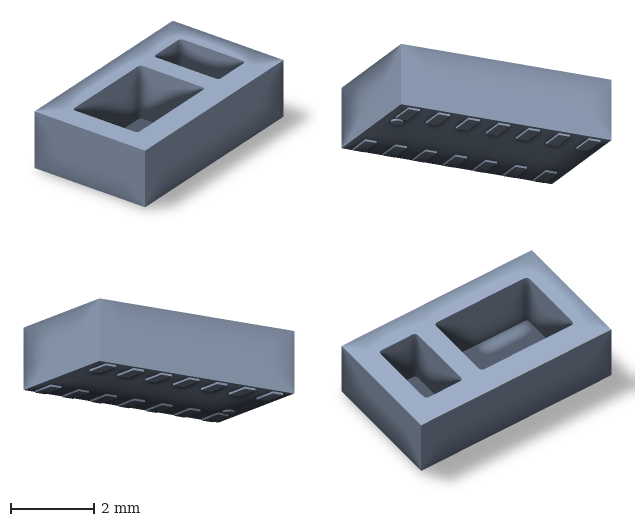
import cadquery as cq

body_width = 3.3
body_length = 5.6
total_height = 1.6
pad_thickness = 0.05
body_height = total_height - pad_thickness

cavity_width = 1.95
large_cavity_length = 2.75
small_cavity_length = 1.1
end_wall = 0.61
floor_thickness = 0.1
cavity_corner_radius = 0.09

pads_per_side = 7
pad_pitch = 0.8
pad_length = 0.7
pad_width = 0.3
pad_edge_inset = 0.105

marker_diameter = 0.3
marker_x = -0.6
marker_y = pad_pitch * (pads_per_side - 1) / 2


def make_cavity(length, center_y):
    """Rounded rectangular cutter from the cavity floor to the top face."""
    return (
        cq.Workplane("XY", origin=(0, center_y, floor_thickness))
        .rect(cavity_width, length)
        .extrude(body_height - floor_thickness)
        .edges("|Z")
        .fillet(cavity_corner_radius)
    )


def make_pads():
    """Both rows of rectangular pads below the body."""
    row_spacing = body_width - 2 * pad_edge_inset - pad_length
    return (
        cq.Workplane("XY")
        .rarray(row_spacing, pad_pitch, 2, pads_per_side)
        .rect(pad_length, pad_width)
        .extrude(-pad_thickness)
    )


def make_marker():
    """Round marker of the same thickness as the pads."""
    return (
        cq.Workplane("XY", origin=(marker_x, marker_y, 0))
        .circle(marker_diameter / 2)
        .extrude(-pad_thickness)
    )


body = cq.Workplane("XY").box(body_width, body_length, body_height, centered=(True, True, False))

large_cavity_y = -body_length / 2 + end_wall + large_cavity_length / 2
small_cavity_y = body_length / 2 - end_wall - small_cavity_length / 2
body = body.cut(make_cavity(large_cavity_length, large_cavity_y))
body = body.cut(make_cavity(small_cavity_length, small_cavity_y))

result = body.union(make_pads()).union(make_marker())